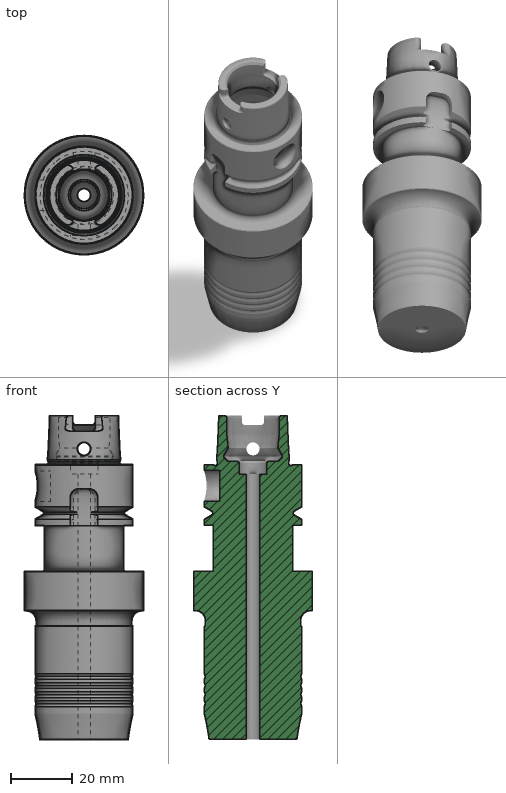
import cadquery as cq
import math


total_height = 105.9
flange_top = 89.9
flange_bottom = 69.9
collar_top = 55.1
collar_bottom = 42.0
neck_round = 3.1
neck_top = collar_bottom - neck_round
neck_bottom = 37.3
nose_height = 8.5
taper_bottom = 91.5

body_radius = 16.0
nose_radius = 14.4
neck_radius = 15.7
collar_radius = 19.5
shank_radius = 13.0
taper_base_radius = 12.0
taper_tip_radius = 11.3

edge_break = 0.2
shank_foot_round = 0.3
tip_round = 0.5

grip_groove_count = 4
grip_groove_pitch = 3.0
grip_groove_width = 1.9
grip_groove_depth = 0.3
first_grip_groove_height = 11.8

gripper_height = 74.0
gripper_mouth_half = 2.0
gripper_knee_half = 1.1
gripper_bottom_half = 0.3
gripper_knee_radius = 14.3
gripper_bottom_radius = 13.2

relief_radius = 11.8
relief_floor_radius = 12.4
relief_face_radius = 13.2
relief_depth = 0.3
relief_top = 90.9
relief_round = relief_floor_radius - relief_radius

mouth_radius = 9.1
bore_radius = 8.5
mouth_chamfer = mouth_radius - bore_radius
bore_step_height = 99.7
bore_lip_radius = 8.0
bore_lip_height = 95.3
undercut_radius = 9.5
undercut_angle = 30.0
bore_floor_height = 91.1
bore_floor_chamfer = 1.3
socket_radius = 4.5
socket_mouth_radius = 5.1
socket_depth = 4.2
through_radius = 2.1

cross_hole_radius = 2.1
cross_hole_height = 95.0

notch_half_width = 3.6
notch_flat_distance = 9.7
notch_corner_radius = 1.5
notch_floor_round = 1.0
front_notch_floor = 100.8
back_notch_floor = 102.8

key_floor_distance = shank_radius
key_top = 82.0
front_key_width = 9.0
front_key_corner_radius = 3.0
back_key_width = 7.0
back_key_corner_radius = 3.4

pocket_radius = 5.0
pocket_height = 82.9
pocket_floor_distance = 11.0


def turned_body():
    outline = cq.Workplane("YZ").lineTo(nose_radius, 0).lineTo(body_radius, nose_height)
    for index in range(grip_groove_count):
        middle = first_grip_groove_height + index * grip_groove_pitch
        outline = (
            outline.lineTo(body_radius, middle - grip_groove_width / 2)
            .lineTo(body_radius - grip_groove_depth, middle)
            .lineTo(body_radius, middle + grip_groove_width / 2)
        )
    outline = (
        outline.lineTo(body_radius, neck_bottom - edge_break)
        .lineTo(neck_radius, neck_bottom)
        .lineTo(neck_radius, neck_top)
        .radiusArc((neck_radius + neck_round, collar_bottom), neck_round)
        .lineTo(collar_radius - edge_break, collar_bottom)
        .lineTo(collar_radius, collar_bottom + edge_break)
        .lineTo(collar_radius, collar_top - edge_break)
        .lineTo(collar_radius - edge_break, collar_top)
        .lineTo(shank_radius + shank_foot_round, collar_top)
        .radiusArc((shank_radius, collar_top + shank_foot_round), shank_foot_round)
        .lineTo(shank_radius, flange_bottom)
        .lineTo(body_radius, flange_bottom)
        .lineTo(body_radius, gripper_height - gripper_mouth_half)
        .lineTo(gripper_knee_radius, gripper_height - gripper_knee_half)
        .lineTo(gripper_bottom_radius, gripper_height - gripper_bottom_half)
        .lineTo(gripper_bottom_radius, gripper_height + gripper_bottom_half)
        .lineTo(gripper_knee_radius, gripper_height + gripper_knee_half)
        .lineTo(body_radius, gripper_height + gripper_mouth_half)
        .lineTo(body_radius, flange_top - edge_break)
        .lineTo(body_radius - edge_break, flange_top)
        .lineTo(relief_face_radius, flange_top)
        .lineTo(relief_floor_radius, flange_top - relief_depth)
        .radiusArc((relief_radius, flange_top - relief_depth + relief_round), relief_round)
        .lineTo(relief_radius, relief_top)
        .lineTo(taper_base_radius, taper_bottom)
        .lineTo(taper_tip_radius, total_height - tip_round)
        .radiusArc((taper_tip_radius - tip_round, total_height), -tip_round)
        .lineTo(0, total_height)
        .close()
    )
    return outline.revolve(360, (0, 0), (0, 1))


def bore():
    undercut_drop = (undercut_radius - bore_lip_radius) / math.tan(math.radians(undercut_angle))
    socket_floor = bore_floor_height - socket_depth
    socket_chamfer = socket_mouth_radius - socket_radius
    return (
        cq.Workplane("XZ")
        .lineTo(through_radius, 0)
        .lineTo(through_radius, socket_floor)
        .lineTo(socket_radius, socket_floor)
        .lineTo(socket_radius, bore_floor_height - socket_chamfer)
        .lineTo(socket_mouth_radius, bore_floor_height)
        .lineTo(undercut_radius - bore_floor_chamfer, bore_floor_height)
        .lineTo(undercut_radius, bore_floor_height + bore_floor_chamfer)
        .lineTo(undercut_radius, bore_lip_height - undercut_drop)
        .lineTo(bore_lip_radius, bore_lip_height)
        .lineTo(bore_radius, bore_step_height)
        .lineTo(bore_radius, total_height - mouth_chamfer)
        .lineTo(mouth_radius, total_height)
        .lineTo(0, total_height)
        .close()
        .revolve(360, (0, 0), (0, 1))
    )


def cross_hole():
    return (
        cq.Workplane("XZ")
        .center(0, cross_hole_height)
        .circle(cross_hole_radius)
        .extrude(body_radius, both=True)
    )


def drive_notch(floor_height):
    """Notch on the -Y side whose walls round outwards into a flat on the taper."""
    flat_start = notch_half_width + notch_corner_radius
    inner_reach = bore_radius / 2
    return (
        cq.Workplane("XY", origin=(0, 0, floor_height))
        .moveTo(-notch_half_width, -inner_reach)
        .lineTo(-notch_half_width, notch_corner_radius - notch_flat_distance)
        .radiusArc((-flat_start, -notch_flat_distance), notch_corner_radius)
        .lineTo(-body_radius, -notch_flat_distance)
        .lineTo(-body_radius, -body_radius)
        .lineTo(body_radius, -body_radius)
        .lineTo(body_radius, -notch_flat_distance)
        .lineTo(flat_start, -notch_flat_distance)
        .radiusArc((notch_half_width, notch_corner_radius - notch_flat_distance), notch_corner_radius)
        .lineTo(notch_half_width, -inner_reach)
        .close()
        .extrude(total_height - floor_height)
        .faces("<Z")
        .edges()
        .fillet(notch_floor_round)
    )


def key_slot(width, corner_radius):
    """Slot on the -Y side, open at the flange bottom, with rounded upper corners."""
    half = width / 2
    return (
        cq.Workplane("XZ", origin=(0, -key_floor_distance, 0))
        .moveTo(-half, flange_bottom)
        .lineTo(half, flange_bottom)
        .lineTo(half, key_top - corner_radius)
        .radiusArc((half - corner_radius, key_top), -corner_radius)
        .lineTo(corner_radius - half, key_top)
        .radiusArc((-half, key_top - corner_radius), -corner_radius)
        .close()
        .extrude(body_radius)
    )


def side_pocket():
    return (
        cq.Workplane("YZ", origin=(-pocket_floor_distance, 0, 0))
        .center(0, pocket_height)
        .circle(pocket_radius)
        .extrude(-body_radius)
    )


def on_back(shape):
    return shape.rotate((0, 0, 0), (0, 0, 1), 180)


result = (
    turned_body()
    .cut(bore())
    .cut(cross_hole())
    .cut(drive_notch(front_notch_floor))
    .cut(on_back(drive_notch(back_notch_floor)))
    .cut(key_slot(front_key_width, front_key_corner_radius))
    .cut(on_back(key_slot(back_key_width, back_key_corner_radius)))
    .cut(side_pocket())
)